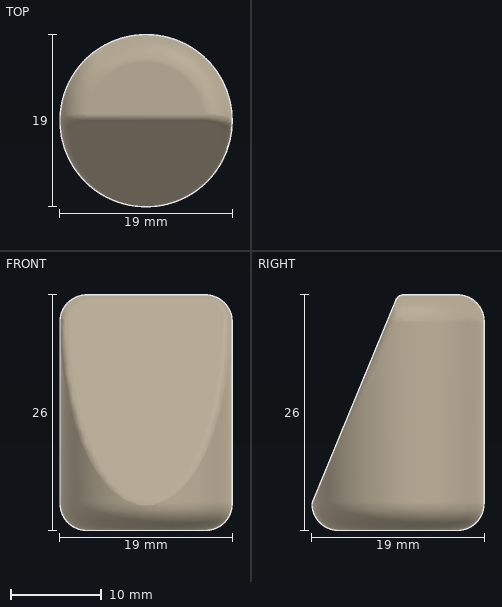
import cadquery as cq

height = 26.0
diameter = 19.0
radius = diameter / 2
rim_fillet = 3.0
face_fillet = 1.0

slope_run = radius
slope_foot_z = rim_fillet
slope_drop = height - slope_foot_z


def rounded_cylinder():
    body = cq.Workplane("XY").circle(radius).extrude(height)
    return body.faces("|Z").edges().fillet(rim_fillet)


def slope_cutter():
    """Triangular prism in front of the sloped plane, wider than the body."""
    high_point = (slope_run, height + slope_drop)
    low_point = (-2 * slope_run, height - 2 * slope_drop)
    outer_corner = (low_point[0], high_point[1])
    profile = cq.Workplane("YZ").polyline([high_point, low_point, outer_corner]).close()
    return profile.extrude(diameter, both=True)


def round_sloped_face(body):
    face_middle = (0, -slope_run / 2, slope_foot_z + slope_drop / 2)
    sloped_face = body.faces(cq.selectors.NearestToPointSelector(face_middle))
    return sloped_face.edges().fillet(face_fillet)


result = round_sloped_face(rounded_cylinder().cut(slope_cutter()))